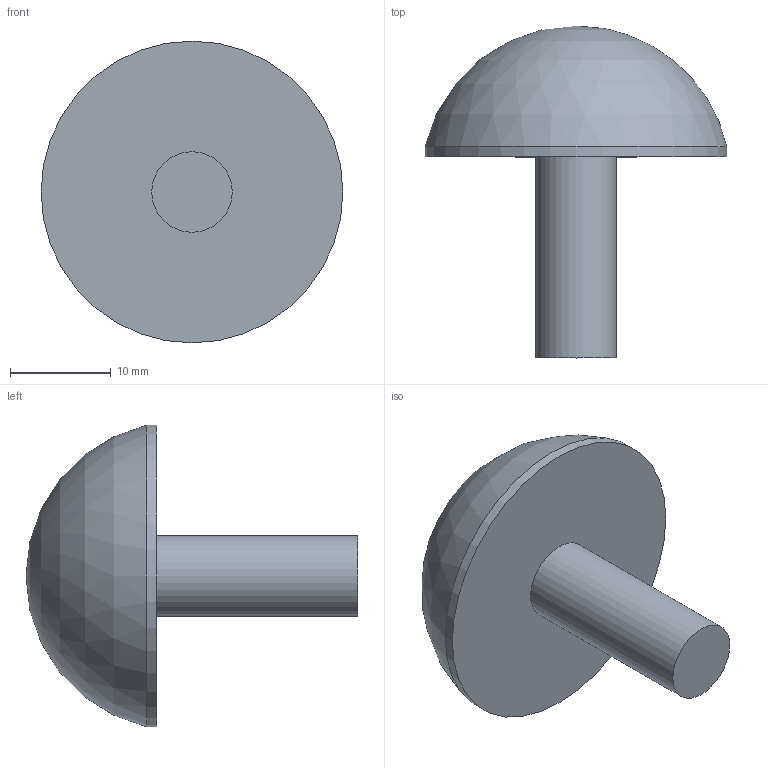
import cadquery as cq

head_diameter = 30.0
rim_height = 1.0
dome_height = 12.0
stem_diameter = 8.0
stem_length = 20.0

head_radius = head_diameter / 2
stem_radius = stem_diameter / 2
head_height = rim_height + dome_height

sphere_radius = (head_radius**2 + dome_height**2) / (2 * dome_height)
sphere_center = head_height - sphere_radius

mid_radius = head_radius / 2
mid_height = sphere_center + (sphere_radius**2 - mid_radius**2) ** 0.5


def make_knob():
    """Revolve the half section of stem, rim and dome about the Y axis."""
    half_section = (
        cq.Workplane("XY")
        .moveTo(0, -stem_length)
        .lineTo(stem_radius, -stem_length)
        .lineTo(stem_radius, 0)
        .lineTo(head_radius, 0)
        .lineTo(head_radius, rim_height)
        .threePointArc((mid_radius, mid_height), (0, head_height))
        .close()
    )
    return half_section.revolve(360, (0, 0, 0), (0, 1, 0))


result = make_knob()